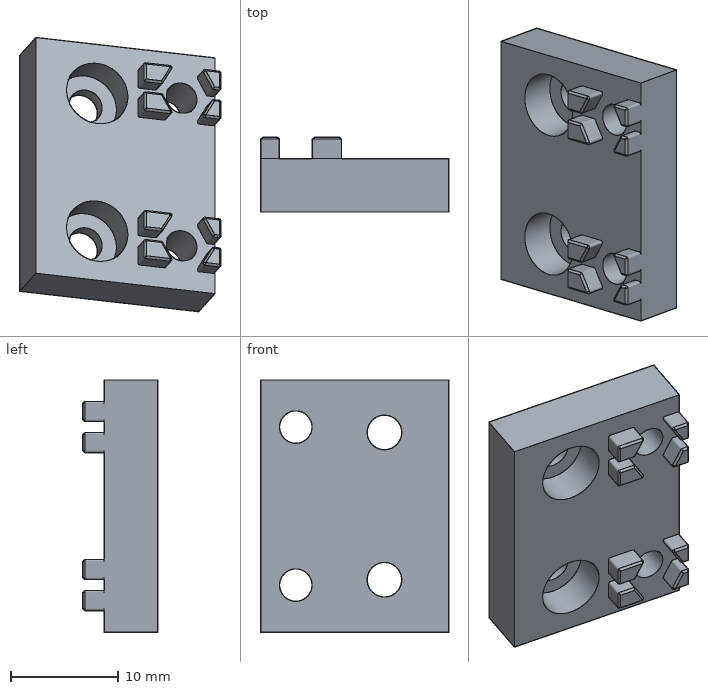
import math

import cadquery as cq

WIDTH = 17.54
THICKNESS = 5.0
HEIGHT = 23.54

PEG_HOLE_DIAMETER = 3.0
PEG_HOLE_FROM_LEFT = 3.27
PEG_HOLE_FROM_END = 4.4

SCREW_HOLE_DIAMETER = 3.2
SCREW_HOLE_FROM_RIGHT = 6.0
SCREW_HOLE_FROM_END = 4.9
HEAD_DIAMETER = 6.0
WALL_UNDER_HEAD = 1.5

PEG_LENGTH = 2.0
HEXAGON_ACROSS_FLATS = 4.8
PEG_GAP = 1.0
PEG_RIGHT_REACH = 4.27
PEG_LEFT_REACH = PEG_HOLE_FROM_LEFT
PEG_FILLET = 0.2
PEG_TIP_CHAMFER = 0.2

PEG_HOLE_X = -WIDTH / 2 + PEG_HOLE_FROM_LEFT
PEG_HOLE_Z = HEIGHT / 2 - PEG_HOLE_FROM_END
SCREW_HOLE_X = WIDTH / 2 - SCREW_HOLE_FROM_RIGHT
SCREW_HOLE_Z = HEIGHT / 2 - SCREW_HOLE_FROM_END


def cylinder(diameter, x, z, y_start, y_end):
    """Cylinder along +Y between two depths."""
    circle = cq.Workplane("XZ", origin=(x, y_start, z)).circle(diameter / 2)
    return circle.extrude(-(y_end - y_start))


def peg(hole_z, side_x, side_z):
    """Peg in one corner around a hole; its inner side follows the slanted side of the hexagon."""
    reach = PEG_RIGHT_REACH if side_x > 0 else PEG_LEFT_REACH
    near_z = PEG_GAP / 2
    far_z = HEXAGON_ACROSS_FLATS / 2
    slant = math.tan(math.radians(30))
    hexagon_radius = far_z / math.cos(math.radians(30))
    corners = [
        (reach, near_z),
        (reach, far_z),
        (hexagon_radius - far_z * slant, far_z),
        (hexagon_radius - near_z * slant, near_z),
    ]
    outline = [(side_x * x, side_z * z) for x, z in corners]
    back_face = cq.Workplane("XZ", origin=(PEG_HOLE_X, THICKNESS, hole_z))
    block = back_face.polyline(outline).close().extrude(-PEG_LENGTH)
    rounded = block.edges("|Y").fillet(PEG_FILLET)
    return rounded.faces(">Y").chamfer(PEG_TIP_CHAMFER)


def plate():
    """Rectangular plate without holes or pegs."""
    block = cq.Workplane("XY").box(WIDTH, THICKNESS, HEIGHT)
    return block.translate((0, THICKNESS / 2, 0))


def counterbored_hole(z):
    """Screw hole through the plate, widened for the screw head at the back."""
    shank = cylinder(SCREW_HOLE_DIAMETER, SCREW_HOLE_X, z, 0, THICKNESS)
    head = cylinder(HEAD_DIAMETER, SCREW_HOLE_X, z, WALL_UNDER_HEAD, THICKNESS)
    return shank.union(head)


result = plate()

for end in (-1, 1):
    peg_hole_z = end * PEG_HOLE_Z
    result = result.cut(cylinder(PEG_HOLE_DIAMETER, PEG_HOLE_X, peg_hole_z, 0, THICKNESS))
    result = result.cut(counterbored_hole(end * SCREW_HOLE_Z))

    for side_x in (-1, 1):
        for side_z in (-1, 1):
            result = result.union(peg(peg_hole_z, side_x, side_z))